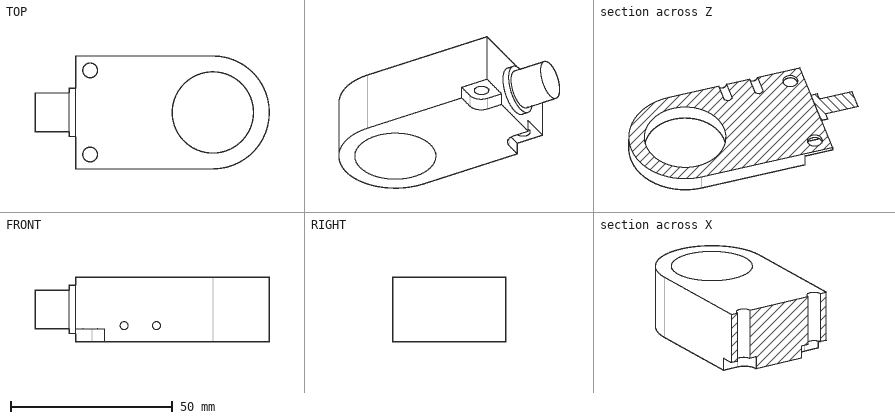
import cadquery as cq
import math

total_length = 72.5
housing_width = 35.0
housing_height = 20.0

connector_length = 12.55
collar_length = 2.0
collar_diameter = 15.0
plug_diameter = 12.0

end_radius = housing_width / 2
bore_diameter = 25.1
bore_x = total_length - end_radius

mounting_hole_diameter = 4.5
mounting_hole_inset = 4.5
pocket_length = 9.0
pocket_width = 9.1
pocket_height = 4.0
pocket_corner_radius = 4.0

side_hole_diameter = 2.5
side_hole_depth = 6.0
side_hole_height = 5.0
side_hole_offsets = (15.0, 25.0)
drill_point_angle = 118.0

end_face_x = connector_length
corner_sides = (-1, 1)


def housing_blank():
    """Plate with a square connector end and a half-round bore end."""
    return (
        cq.Workplane("XY")
        .moveTo(end_face_x, -end_radius)
        .lineTo(bore_x, -end_radius)
        .threePointArc((total_length, 0), (bore_x, end_radius))
        .lineTo(end_face_x, end_radius)
        .close()
        .extrude(housing_height)
    )


def vertical_hole(x, y, diameter):
    """Cutter for a hole through the full height."""
    return cq.Workplane("XY").center(x, y).circle(diameter / 2).extrude(housing_height)


def corner_pocket(side):
    """Cutter for the bottom corner relief on the given Y side, rounded at its inner corner."""
    inner_x = end_face_x + pocket_length
    outer_y = side * end_radius
    inner_y = side * (end_radius - pocket_width)
    arc_center_x = inner_x - pocket_corner_radius
    arc_center_y = inner_y + side * pocket_corner_radius
    diagonal = pocket_corner_radius * math.sqrt(0.5)
    return (
        cq.Workplane("XY")
        .moveTo(end_face_x, outer_y)
        .lineTo(inner_x, outer_y)
        .lineTo(inner_x, arc_center_y)
        .threePointArc(
            (arc_center_x + diagonal, arc_center_y - side * diagonal),
            (arc_center_x, inner_y),
        )
        .lineTo(end_face_x, inner_y)
        .close()
        .extrude(pocket_height)
    )


def side_hole(offset):
    """Cutter for a blind hole with a conical drill point, entering from the -Y side."""
    radius = side_hole_diameter / 2
    point_length = radius / math.tan(math.radians(drill_point_angle / 2))
    profile = (
        cq.Workplane("XY")
        .lineTo(radius, 0)
        .lineTo(radius, side_hole_depth)
        .lineTo(0, side_hole_depth + point_length)
        .close()
    )
    drill = profile.revolve(360, (0, 0), (0, 1))
    return drill.translate((end_face_x + offset, -end_radius, side_hole_height))


def make_housing():
    """Housing with sensing bore, mounting holes, corner pockets and side holes."""
    body = housing_blank().cut(vertical_hole(bore_x, 0, bore_diameter))
    mounting_hole_x = end_face_x + mounting_hole_inset
    for side in corner_sides:
        mounting_hole_y = side * (end_radius - mounting_hole_inset)
        body = body.cut(vertical_hole(mounting_hole_x, mounting_hole_y, mounting_hole_diameter))
        body = body.cut(corner_pocket(side))
    for offset in side_hole_offsets:
        body = body.cut(side_hole(offset))
    return body


def make_connector():
    """Stepped round connector: a plug with a wider collar seated on the housing's end face."""
    axis_start = cq.Workplane("YZ", origin=(0, 0, housing_height / 2))
    plug = axis_start.circle(plug_diameter / 2).extrude(connector_length)
    collar = (
        axis_start.workplane(offset=connector_length - collar_length)
        .circle(collar_diameter / 2)
        .extrude(collar_length)
    )
    return plug.union(collar)


housing = make_housing()
connector = make_connector()

result = cq.Compound.makeCompound([housing.val(), connector.val()])